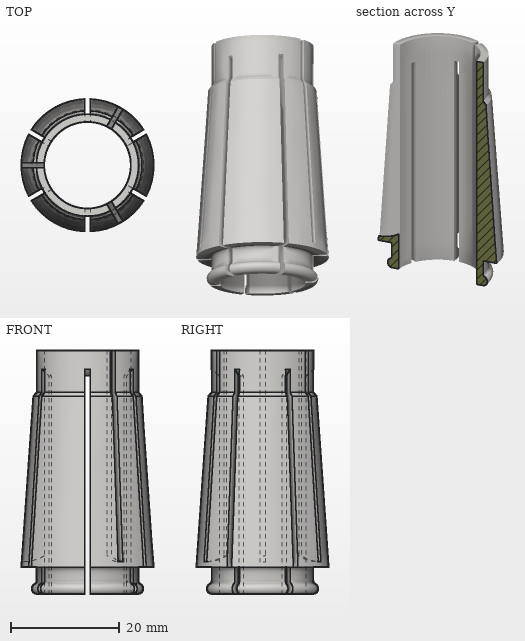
import cadquery as cq
import math


TOTAL_HEIGHT = 45.1
BORE_RADIUS = 8.0
NECK_RADIUS = 9.45

CONE_BASE_RADIUS = 12.28
CONE_BASE_Z = 5.0
CONE_TOP_Z = 36.6
CONE_HALF_ANGLE = 4.0
SHOULDER_TOP_Z = 37.33

RING_OUTER_RADIUS = 10.33
RING_ROUND_RADIUS = 1.0
RING_FILLET_TOP_Z = 2.4

SLOT_WIDTH = 1.0
CUTTER_RADIUS = 8.4
LOWER_SLOT_ANGLES = [30, 90, 150, 210, 270, 330]
LOWER_SLOT_TOP_Z = 41.64
LOWER_CUTTER_AXIS_RADIUS = 14.2
UPPER_SLOT_ANGLES = [60, 180, 300]
UPPER_SLOT_FLOOR_Z = 6.0
UPPER_CUTTER_AXIS_RADIUS = 12.2
CLEARANCE = 1.0


def make_body():
    """Revolve the wall section, with the bore left open."""
    cone_top_radius = CONE_BASE_RADIUS - (CONE_TOP_Z - CONE_BASE_Z) * math.tan(math.radians(CONE_HALF_ANGLE))

    ring_center_r = RING_OUTER_RADIUS - RING_ROUND_RADIUS
    ring_center_z = RING_ROUND_RADIUS

    offset_r = NECK_RADIUS - ring_center_r
    offset_z = RING_FILLET_TOP_Z - ring_center_z
    fillet = (offset_r**2 + offset_z**2 - RING_ROUND_RADIUS**2) / (2 * (RING_ROUND_RADIUS - offset_r))
    fillet_center_r = NECK_RADIUS + fillet
    ring_share = RING_ROUND_RADIUS / (RING_ROUND_RADIUS + fillet)
    tangent_r = ring_center_r + (fillet_center_r - ring_center_r) * ring_share
    tangent_z = ring_center_z + offset_z * ring_share

    tangent_angle = math.atan2(tangent_z - RING_FILLET_TOP_Z, tangent_r - fillet_center_r)
    fillet_mid_angle = (tangent_angle - math.pi) / 2
    fillet_mid = (
        fillet_center_r + fillet * math.cos(fillet_mid_angle),
        RING_FILLET_TOP_Z + fillet * math.sin(fillet_mid_angle),
    )

    return (
        cq.Workplane("XZ")
        .moveTo(BORE_RADIUS, 0)
        .lineTo(ring_center_r, 0)
        .threePointArc((RING_OUTER_RADIUS, ring_center_z), (tangent_r, tangent_z))
        .threePointArc(fillet_mid, (NECK_RADIUS, RING_FILLET_TOP_Z))
        .lineTo(NECK_RADIUS, CONE_BASE_Z)
        .lineTo(CONE_BASE_RADIUS, CONE_BASE_Z)
        .lineTo(cone_top_radius, CONE_TOP_Z)
        .lineTo(NECK_RADIUS, SHOULDER_TOP_Z)
        .lineTo(NECK_RADIUS, TOTAL_HEIGHT)
        .lineTo(BORE_RADIUS, TOTAL_HEIGHT)
        .close()
        .revolve(360, (0, 0, 0), (0, 1, 0))
    )


def cutter_depth(axis_radius, radius):
    """Distance along Z from the cutter axis to its edge, at a radius from the collet axis."""
    return math.sqrt(CUTTER_RADIUS**2 - (axis_radius - radius) ** 2)


def make_slot(axis_radius, axis_z, open_end_z, direction):
    """Slot along +X; its arc end faces `direction` (+1 up, -1 down) from the cutter axis."""
    inner_radius = BORE_RADIUS - CLEARANCE
    mid_radius = (inner_radius + axis_radius) / 2
    inner_end = (inner_radius, axis_z + direction * cutter_depth(axis_radius, inner_radius))
    mid_end = (mid_radius, axis_z + direction * cutter_depth(axis_radius, mid_radius))
    outer_end = (axis_radius, axis_z + direction * CUTTER_RADIUS)
    outer_radius = max(axis_radius, CONE_BASE_RADIUS) + CLEARANCE
    return (
        cq.Workplane("XZ")
        .moveTo(inner_radius, open_end_z)
        .lineTo(*inner_end)
        .threePointArc(mid_end, outer_end)
        .lineTo(outer_radius, outer_end[1])
        .lineTo(outer_radius, open_end_z)
        .close()
        .extrude(SLOT_WIDTH / 2, both=True)
    )


def cut_slots(body, slot, angles):
    for angle in angles:
        body = body.cut(slot.rotate((0, 0, 0), (0, 0, 1), angle))
    return body


lower_axis_z = LOWER_SLOT_TOP_Z - cutter_depth(LOWER_CUTTER_AXIS_RADIUS, NECK_RADIUS)
lower_slot = make_slot(LOWER_CUTTER_AXIS_RADIUS, lower_axis_z, -CLEARANCE, 1)

upper_axis_z = UPPER_SLOT_FLOOR_Z + CUTTER_RADIUS
upper_slot = make_slot(UPPER_CUTTER_AXIS_RADIUS, upper_axis_z, TOTAL_HEIGHT + CLEARANCE, -1)

result = make_body()
result = cut_slots(result, lower_slot, LOWER_SLOT_ANGLES)
result = cut_slots(result, upper_slot, UPPER_SLOT_ANGLES)